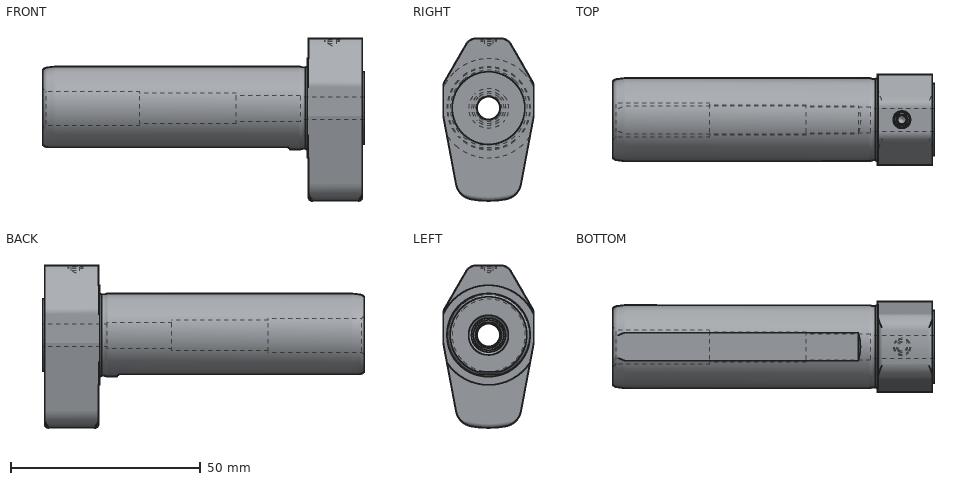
import cadquery as cq
import math

TOTAL_LENGTH = 85.0
HEAD_START = 70.2
HEAD_END = 84.5
COLLAR_THICKNESS = 0.3
COLLAR_START = HEAD_START - COLLAR_THICKNESS
COLLAR_RADIUS = 13.2
END_BOSS_RADIUS = 9.6

SHAFT_RADIUS = 22.0 / 2
RELIEF_RADIUS = 21.6 / 2
LEAD_START = 1.5
LEAD_END = 3.15
RELIEF_START = 67.9
RELIEF_FLOOR_START = 68.7
RELIEF_FLOOR_END = 69.45
FLAT_DEPTH = 10.4
FLAT_END = 64.85
NOSE_DROP = 0.7
NOSE_RADIUS = (LEAD_START**2 + NOSE_DROP**2) / (2 * NOSE_DROP)
NOSE_OVERRUN = NOSE_RADIUS - LEAD_START

HEAD_HALF_WIDTH = 12.0
HEAD_TOP = 18.45
HEAD_BOTTOM_RADIUS = 24.6
UPPER_SHOULDER = 6.4
LOWER_SHOULDER = -2.1
UPPER_TAPER = math.radians(30)
LOWER_TAPER = math.radians(10)
TOP_ROUND = 3.2
SHOULDER_ROUND = 3.0
BOTTOM_ROUND = 5.1
BOTTOM_EDGE_ROUND = 1.1

BORE_MOUTH_DIAMETER = 10.5
BORE_DIAMETER = 9.0
BORE_MOUTH_DEPTH = 0.8
BORE_DEPTH = 25.5
MIDDLE_BORE_DIAMETER = 8.0
MIDDLE_BORE_DEPTH = 51.0
NARROW_BORE_DIAMETER = 6.9
NARROW_BORE_DEPTH = 68.0
THROUGH_DIAMETER = 6.0

SCREW_X = 76.4
SCREW_MOUTH_DIAMETER = 4.6
SCREW_DIAMETER = 4.0
SCREW_TIP_DIAMETER = 3.0
SCREW_SOCKET_DIAMETER = 2.3
SCREW_TOP_DEPTH = 0.3
SCREW_SOCKET_DEPTH = 1.3
SCREW_SOCKET_CONE = 0.7


def revolve_about_x(points):
    """Revolve an (X, radius) outline, listed from axis to axis, about X."""
    return cq.Workplane("XY").polyline(points).close().revolve(360, (0, 0, 0), (1, 0, 0))


def box_between(x_range, y_half, z_range):
    return (
        cq.Workplane("XY")
        .box(x_range[1] - x_range[0], 2 * y_half, z_range[1] - z_range[0], centered=(False, True, False))
        .translate((x_range[0], 0, z_range[0]))
    )


def head_profile():
    """Sharp-cornered head outline from the top flat down past the bottom arc."""
    top_half = HEAD_HALF_WIDTH - (HEAD_TOP - UPPER_SHOULDER) * math.tan(UPPER_TAPER)
    bottom_half = HEAD_HALF_WIDTH - (HEAD_BOTTOM_RADIUS + LOWER_SHOULDER) * math.tan(LOWER_TAPER)
    arc_end = -math.sqrt(HEAD_BOTTOM_RADIUS**2 - bottom_half**2)
    return (
        cq.Workplane("YZ")
        .moveTo(top_half, HEAD_TOP)
        .lineTo(HEAD_HALF_WIDTH, UPPER_SHOULDER)
        .lineTo(HEAD_HALF_WIDTH, LOWER_SHOULDER)
        .lineTo(bottom_half, arc_end)
        .threePointArc((0, -HEAD_BOTTOM_RADIUS), (-bottom_half, arc_end))
        .lineTo(-HEAD_HALF_WIDTH, LOWER_SHOULDER)
        .lineTo(-HEAD_HALF_WIDTH, UPPER_SHOULDER)
        .lineTo(-top_half, HEAD_TOP)
        .close()
    )


def rounded_prism():
    """Head outline with rounded corners, long enough for collar and head."""
    prism = head_profile().extrude(HEAD_END - COLLAR_START).translate((COLLAR_START, 0, 0))
    corner_edges = prism.edges("|X")

    def edges_between(low, high):
        return corner_edges.filter(lambda edge: low < edge.Center().z < high).vals()

    corner_groups = [
        (edges_between(UPPER_SHOULDER + 0.85, HEAD_TOP + 0.85), TOP_ROUND),
        (edges_between(0, UPPER_SHOULDER + 0.85), SHOULDER_ROUND),
        (edges_between(-HEAD_BOTTOM_RADIUS, LOWER_SHOULDER - 0.85), BOTTOM_ROUND),
    ]
    for edges, radius in corner_groups:
        prism = prism.newObject(edges).fillet(radius)
    return prism


def make_head():
    """Head plate with a round collar in front and a round boss behind."""
    prism = rounded_prism()
    envelope = (
        cq.Workplane("YZ", origin=(HEAD_START, 0, 0))
        .circle(HEAD_BOTTOM_RADIUS)
        .extrude(HEAD_END - HEAD_START)
        .edges()
        .fillet(BOTTOM_EDGE_ROUND)
    )
    collar = cq.Workplane("YZ", origin=(COLLAR_START, 0, 0)).circle(COLLAR_RADIUS).extrude(COLLAR_THICKNESS)
    boss = (
        cq.Workplane("YZ", origin=(HEAD_END, 0, 0))
        .circle(END_BOSS_RADIUS)
        .extrude(TOTAL_LENGTH - HEAD_END)
    )
    return prism.intersect(envelope.union(collar)).union(boss)


def make_nose():
    """Rounded end of the shaft, its round following the flat as well."""
    nose = (
        cq.Workplane("YZ", origin=(-NOSE_OVERRUN, 0, 0))
        .circle(RELIEF_RADIUS)
        .extrude(NOSE_OVERRUN + LEAD_END)
        .cut(make_flat())
        .faces("<X")
        .edges()
        .fillet(NOSE_RADIUS)
    )
    overrun = box_between((-2 * NOSE_OVERRUN, 0), SHAFT_RADIUS, (-SHAFT_RADIUS, SHAFT_RADIUS))
    return nose.cut(overrun)


def make_flat():
    """Material removed below the flat, which ends on a 45 degree ramp."""
    flat_step = SHAFT_RADIUS - FLAT_DEPTH
    return (
        cq.Workplane("XZ")
        .polyline([
            (-2 * NOSE_OVERRUN, -FLAT_DEPTH),
            (FLAT_END, -FLAT_DEPTH),
            (FLAT_END + 2 * flat_step, -FLAT_DEPTH - 2 * flat_step),
            (-2 * NOSE_OVERRUN, -FLAT_DEPTH - 2 * flat_step),
        ])
        .close()
        .extrude(SHAFT_RADIUS, both=True)
    )


def make_shaft():
    """Shaft with a flat underneath, a rounded nose and a relief at the head."""
    shaft = revolve_about_x([
        (LEAD_START, 0),
        (LEAD_START, RELIEF_RADIUS),
        (LEAD_END, SHAFT_RADIUS),
        (RELIEF_START, SHAFT_RADIUS),
        (RELIEF_FLOOR_START, RELIEF_RADIUS),
        (RELIEF_FLOOR_END, RELIEF_RADIUS),
        (COLLAR_START, SHAFT_RADIUS),
        (HEAD_START, SHAFT_RADIUS),
        (HEAD_START, 0),
    ])
    return shaft.union(make_nose()).cut(make_flat())


def make_bore():
    """Bore through the whole part, narrowing in steps towards the head."""
    return revolve_about_x([
        (0, 0),
        (0, BORE_MOUTH_DIAMETER / 2),
        (BORE_MOUTH_DEPTH, BORE_DIAMETER / 2),
        (BORE_DEPTH, BORE_DIAMETER / 2),
        (BORE_DEPTH, MIDDLE_BORE_DIAMETER / 2),
        (MIDDLE_BORE_DEPTH, MIDDLE_BORE_DIAMETER / 2),
        (MIDDLE_BORE_DEPTH, NARROW_BORE_DIAMETER / 2),
        (NARROW_BORE_DEPTH, NARROW_BORE_DIAMETER / 2),
        (NARROW_BORE_DEPTH, THROUGH_DIAMETER / 2),
        (TOTAL_LENGTH, THROUGH_DIAMETER / 2),
        (TOTAL_LENGTH, 0),
    ])


def make_screw_recess():
    """Space above a sunken set screw: hole mouth, screw chamfer and socket."""
    mouth_depth = (SCREW_MOUTH_DIAMETER - SCREW_DIAMETER) / 2
    tip_chamfer = (SCREW_DIAMETER - SCREW_TIP_DIAMETER) / 2
    return (
        cq.Workplane("XZ")
        .polyline([
            (0, 0),
            (SCREW_MOUTH_DIAMETER / 2, 0),
            (SCREW_DIAMETER / 2, -mouth_depth),
            (SCREW_DIAMETER / 2, -SCREW_TOP_DEPTH - tip_chamfer),
            (SCREW_TIP_DIAMETER / 2, -SCREW_TOP_DEPTH),
            (SCREW_SOCKET_DIAMETER / 2, -SCREW_TOP_DEPTH),
            (SCREW_SOCKET_DIAMETER / 2, -SCREW_SOCKET_DEPTH),
            (0, -SCREW_SOCKET_DEPTH - SCREW_SOCKET_CONE),
        ])
        .close()
        .revolve(360, (0, 0, 0), (0, 1, 0))
        .translate((SCREW_X, 0, HEAD_TOP))
    )


result = make_shaft().union(make_head()).cut(make_bore()).cut(make_screw_recess())